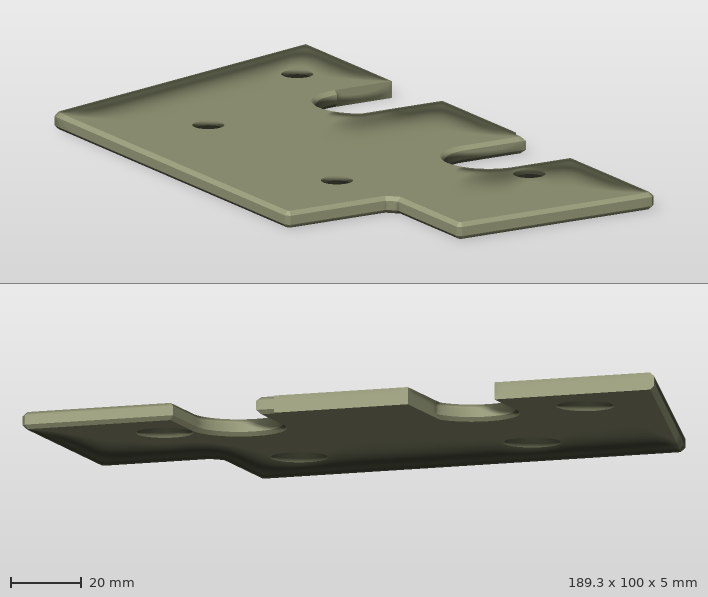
import cadquery as cq

length = 189.3
depth = 100.0
thickness = 5.0
edge_chamfer = 1.1
slant_bottom_x = 26.5
step_x = 153.9
step_y = 35.0
step_corner_chamfer = 2.5

hole_diameter = 9.0
countersink_depth = 3.6
upper_row_y = 80.0
lower_row_y = 30.1
slot_radius = 12.5
left_slot_x = 61.5
right_slot_x = 131.4
upper_hole_xs = (27.5, 153.5)

left_tab_y = depth - edge_chamfer
slant_top_x = -slant_bottom_x * edge_chamfer / left_tab_y
left_wall_x = left_slot_x - slot_radius - edge_chamfer
square_wall_offset = 12.0
square_tab_left_x = left_slot_x + square_wall_offset
square_tab_right_x = 113.5


def block(x_min, x_max, y_min, y_max):
    """Rectangular block through the full plate thickness."""
    return cq.Workplane("XY").box(
        x_max - x_min, y_max - y_min, thickness, centered=False
    ).translate((x_min, y_min, 0))


def plate_outline():
    """Plate with the step and its trimmed vertical corners."""
    plate = (
        cq.Workplane("XY")
        .moveTo(0, left_tab_y)
        .lineTo(slant_bottom_x, 0)
        .lineTo(step_x, 0)
        .lineTo(step_x, step_y)
        .lineTo(length, step_y)
        .lineTo(length, depth)
        .lineTo(slant_top_x, depth)
        .close()
        .extrude(thickness)
    )
    inner_corner = cq.selectors.NearestToPointSelector((step_x, step_y, thickness / 2))
    plate = plate.edges(inner_corner).chamfer(step_corner_chamfer)
    outer_corners = ((slant_bottom_x, 0), (step_x, 0), (length, step_y), (length, depth))
    for x, y in outer_corners:
        corner = cq.selectors.NearestToPointSelector((x, y, thickness / 2))
        plate = plate.edges(corner).chamfer(edge_chamfer)
    return plate


def slot(center_x):
    """Round-bottomed slot open at the back edge."""
    round_end = (
        cq.Workplane("XY").center(center_x, upper_row_y).circle(slot_radius).extrude(thickness)
    )
    return round_end.union(
        block(center_x - slot_radius, center_x + slot_radius, upper_row_y, depth)
    )


def countersunk_hole():
    """Through hole on the Z axis, opening at 45 degrees towards the bottom face."""
    hole_radius = hole_diameter / 2
    return (
        cq.Workplane("XZ")
        .lineTo(hole_radius + countersink_depth, 0)
        .lineTo(hole_radius, countersink_depth)
        .lineTo(hole_radius, thickness)
        .lineTo(0, thickness)
        .close()
        .revolve(360, (0, 0), (0, 1))
    )


result = plate_outline()
for slot_x in (left_slot_x, right_slot_x):
    result = result.cut(slot(slot_x))
result = result.faces("<Z or >Z").edges().chamfer(edge_chamfer)

result = result.cut(block(slant_top_x, left_wall_x, left_tab_y, depth))
result = result.cut(block(left_wall_x, left_slot_x, upper_row_y, depth))

square_tab_bottom_y = upper_row_y - slot_radius / 2
result = result.union(
    block(square_tab_left_x, square_tab_right_x, square_tab_bottom_y, depth)
)

hole_centers = [(x, upper_row_y) for x in upper_hole_xs]
hole_centers += [(x, lower_row_y) for x in (left_slot_x, right_slot_x)]
for hole_x, hole_y in hole_centers:
    result = result.cut(countersunk_hole().translate((hole_x, hole_y, 0)))